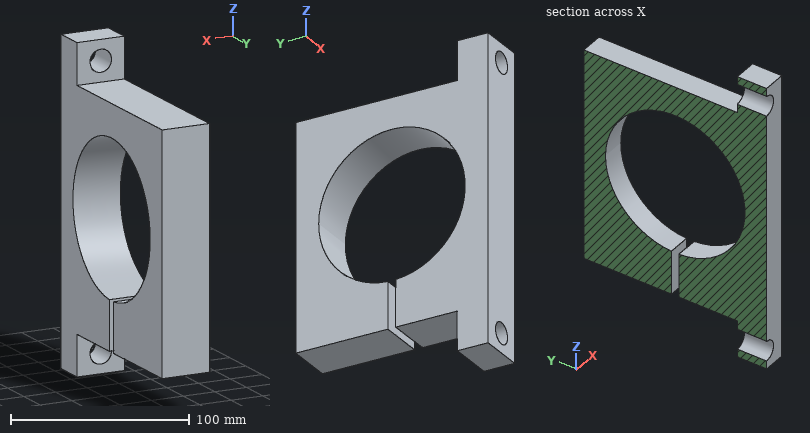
import cadquery as cq

thickness = 30.0
depth = 125.0
height = 195.0

flange_depth = 20.0
flange_overhang = 25.0
body_height = height - 2 * flange_overhang

bore_diameter = 95.0
wall_above_bore = 20.0
bore_y = depth / 2
bore_z = height - flange_overhang - wall_above_bore - bore_diameter / 2
slit_width = 5.0

hole_diameter = 13.5
hole_end_distance = 12.5


def block(size_y, size_z, bottom_z):
    """Full-thickness block starting at the -Y face, centred on X."""
    return (
        cq.Workplane("XY", origin=(0, 0, bottom_z))
        .box(thickness, size_y, size_z, centered=(True, False, False))
    )


def clamp_bore():
    """Cylinder along X through the body."""
    return (
        cq.Workplane("YZ")
        .center(bore_y, bore_z)
        .circle(bore_diameter / 2)
        .extrude(thickness, both=True)
    )


def clamp_slit():
    """Slit from the bore centre down through the bottom of the body."""
    return (
        cq.Workplane("XY", origin=(0, bore_y, 0))
        .box(thickness, slit_width, bore_z, centered=(True, True, False))
    )


def mounting_hole(z):
    """Cylinder along Y through the flange."""
    return (
        cq.Workplane("XZ", origin=(0, 0, z))
        .circle(hole_diameter / 2)
        .extrude(-flange_depth)
    )


flange = block(flange_depth, height, 0)
body = block(depth, body_height, flange_overhang)
result = flange.union(body).cut(clamp_bore()).cut(clamp_slit())

for hole_z in (hole_end_distance, height - hole_end_distance):
    result = result.cut(mounting_hole(hole_z))